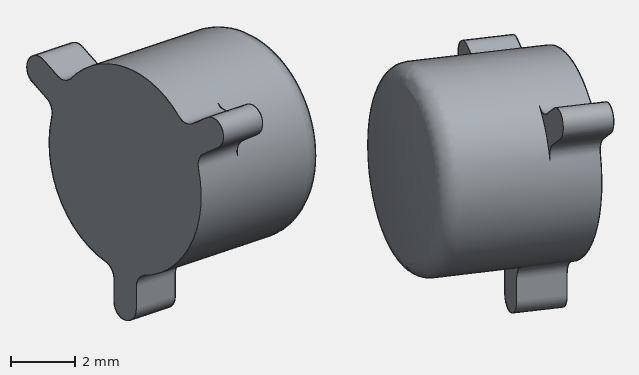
import cadquery as cq
import math

body_radius = 3.4
total_length = 5.5
dome_rise = 0.24
shoulder_fillet = 0.6

lug_count = 3
lug_width = 1.0
lug_reach = 5.0
lug_thickness = 1.7
lug_root_fillet = 0.5

rim_y = total_length - dome_rise
dome_radius = (body_radius**2 + dome_rise**2) / (2 * dome_rise)
lug_tip_radius = lug_width / 2
lug_tip_center = lug_reach - lug_tip_radius
lug_angles = [index * 360 / lug_count for index in range(lug_count)]


def make_body():
    """Cylinder along +Y with a shallow domed end and a rounded shoulder."""
    dome_mid_radial = body_radius / 2
    dome_center_y = total_length - dome_radius
    dome_mid_y = dome_center_y + math.sqrt(dome_radius**2 - dome_mid_radial**2)
    body = (
        cq.Workplane("YZ")
        .lineTo(0, body_radius)
        .lineTo(rim_y, body_radius)
        .threePointArc((dome_mid_y, dome_mid_radial), (total_length, 0))
        .close()
        .revolve(360, (0, 0, 0), (1, 0, 0))
    )
    return body.faces("%CYLINDER").edges(">Y").fillet(shoulder_fillet)


def make_lug(angle):
    """Round-ended lug pointing to -Z, turned about the Y axis."""
    lug = (
        cq.Workplane("XZ")
        .lineTo(-lug_tip_radius, 0)
        .lineTo(-lug_tip_radius, -lug_tip_center)
        .threePointArc((0, -lug_reach), (lug_tip_radius, -lug_tip_center))
        .lineTo(lug_tip_radius, 0)
        .close()
        .extrude(-lug_thickness)
    )
    return lug.rotate((0, 0, 0), (0, 1, 0), angle)


def round_lug_roots(part, angle):
    """Blend both sides of one lug into the cylindrical wall."""
    angle_rad = math.radians(angle)
    root_reach = math.sqrt(body_radius**2 - lug_tip_radius**2)
    for side in (-lug_tip_radius, lug_tip_radius):
        root_point = (
            side * math.cos(angle_rad) - root_reach * math.sin(angle_rad),
            lug_thickness / 2,
            -side * math.sin(angle_rad) - root_reach * math.cos(angle_rad),
        )
        root_edge = cq.selectors.NearestToPointSelector(root_point)
        part = part.edges("|Y").edges(root_edge).fillet(lug_root_fillet)
    return part


result = make_body()
for lug_angle in lug_angles:
    result = result.union(make_lug(lug_angle))
for lug_angle in lug_angles:
    result = round_lug_roots(result, lug_angle)